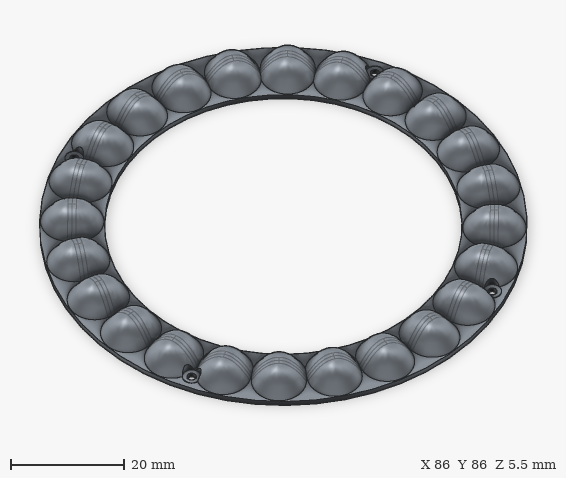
import cadquery as cq

outer_diameter = 86.0
inner_diameter = 63.0
plate_thickness = 1.0

dome_count = 24
total_height = 5.5
dome_width = 9.7
dome_strip_length = 1.5
dome_circle_radius = 37.2

hole_count = 4
hole_diameter = 1.6
head_diameter = 3.3
head_recess_depth = 0.1
hole_circle_radius = 40.25

dome_radius = dome_width / 2
dome_pitch = 360 / dome_count
hole_pitch = 360 / hole_count
first_hole_angle = 2.5 * dome_pitch
head_seat_height = plate_thickness - head_recess_depth


def half_profile():
    """Parabola from the apex to the rim in the XZ plane, carried down through the plate and closed."""
    apex = (0, total_height)
    rim = (dome_radius, plate_thickness)
    parabola_control = (dome_radius / 2, total_height)
    return (
        cq.Workplane("XZ")
        .moveTo(*apex)
        .bezier([apex, parabola_control, rim])
        .lineTo(dome_radius, 0)
        .lineTo(0, 0)
        .close()
    )


def make_dome():
    """Two half paraboloids joined by a straight strip along Y, centred on the Z axis."""
    half_strip = dome_strip_length / 2
    outer_end = half_profile().revolve(180, (0, 0), (0, 1)).translate((0, half_strip, 0))
    right_strip = half_profile().extrude(half_strip, both=True)
    strip = right_strip.union(right_strip.mirror("YZ"))
    return strip.union(outer_end).union(outer_end.mirror("XZ"))


def make_ring():
    return (
        cq.Workplane("XY")
        .circle(outer_diameter / 2)
        .circle(inner_diameter / 2)
        .extrude(plate_thickness)
    )


def add_domes(body):
    dome = make_dome().translate((0, dome_circle_radius, 0))
    for index in range(dome_count):
        body = body.union(dome.rotate((0, 0, 0), (0, 0, 1), index * dome_pitch))
    return body


def cut_screw_holes(body):
    """Through holes, with a head recess that also clears the flanks of the nearby domes."""
    hole = cq.Workplane("XY").circle(hole_diameter / 2).extrude(total_height)
    recess = (
        cq.Workplane("XY")
        .workplane(offset=head_seat_height)
        .circle(head_diameter / 2)
        .extrude(total_height)
    )
    cutter = hole.union(recess).translate((hole_circle_radius, 0, 0))
    for index in range(hole_count):
        angle = first_hole_angle + index * hole_pitch
        body = body.cut(cutter.rotate((0, 0, 0), (0, 0, 1), angle))
    return body


result = cut_screw_holes(add_domes(make_ring()))